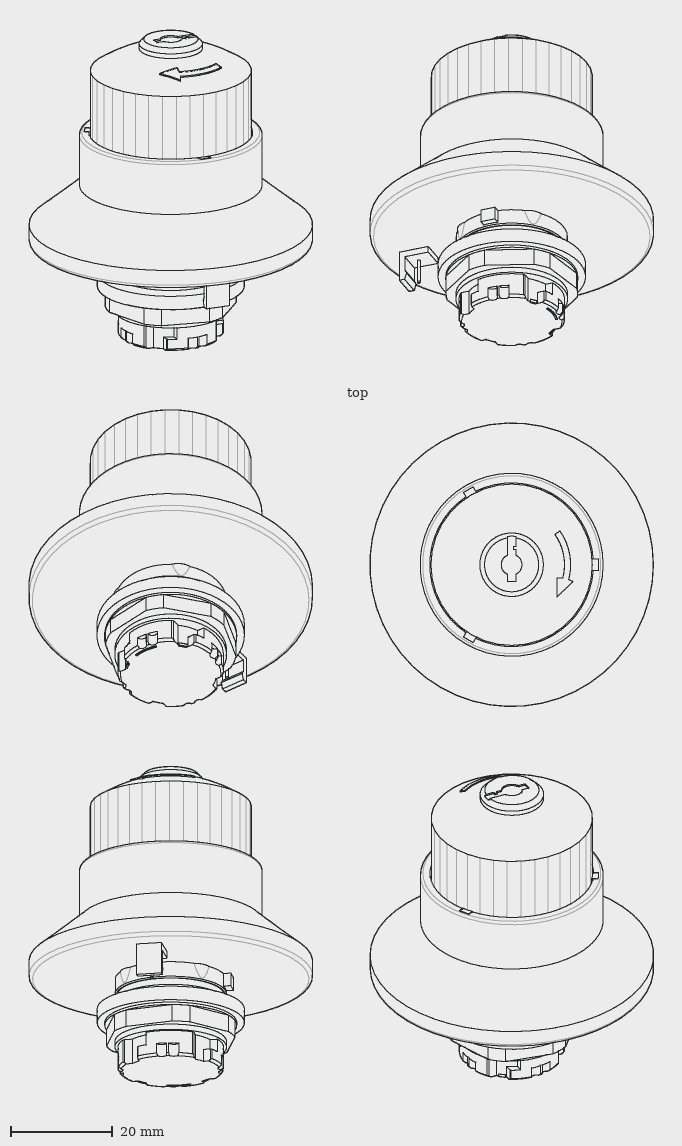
import cadquery as cq
import math

FLANGE_R = 55.8 / 2
FLANGE_RIM_TOP = 3.75
FLANGE_EDGE_ROUND = 0.7
COLLAR_R = 36.0 / 2
COLLAR_BASE = 12.0
COLLAR_TOP = 22.85
COLLAR_LIP_ROUND = 0.5
COLLAR_BORE_R = 16.1
COLLAR_BORE_DEPTH = 6.0
BORE_FLOOR = COLLAR_TOP - COLLAR_BORE_DEPTH
COLLAR_TAB_COUNT = 3
COLLAR_TAB_WIDTH = 2.2
COLLAR_TAB_OUTER_R = 17.05
COLLAR_TAB_DROP = 0.1

KNOB_FACETS = 36
KNOB_R = 15.87
KNOB_FACET_TOP = 35.8
DOME_MID_R = 10.55
DOME_MID_Z = 38.75
DOME_TOP_Z = 40.4

ARROW_RAISE = 0.25
ARROW_INNER_R = 10.4
ARROW_OUTER_R = 11.6
ARROW_TAIL_ANGLE = 35.0
ARROW_NECK_ANGLE = -14.6
ARROW_HEAD_INNER = (8.9, -2.6)
ARROW_TIP = (8.9, -6.35)
ARROW_HEAD_OUTER = (12.1, -3.3)

LOCK_R = 12.5 / 2
LOCK_SHOULDER_Z = 41.35
LOCK_TOP_R = 5.33
LOCK_TOP_Z = 42.3
KEYHOLE_R = 2.04
KEYHOLE_DEPTH = 0.3
KEY_SLOT_WIDTH = 1.67
KEY_SLOT_BOTTOM = -3.33
KEY_NIB_SIZE = (0.5, 0.6)
KEY_NIB_Y = 3.25

BOSS_R = 21.85 / 2
BOSS_BOTTOM = -3.25
BOSS_CHAMFER = 0.25
BOSS_RIB_COUNT = 4
BOSS_RIB_ANGLE = 45.0
BOSS_RIB_REACH = 22.6 / 2
BOSS_RIB_TOP_R = 3.3
BOSS_RIB_BOTTOM = -2.75
NECK_R = 10.5
NECK_BOTTOM = -4.72
THREAD_R = 22.0 / 2
THREAD_BOTTOM = -14.05
WASHER_R = 29.0 / 2
WASHER_TOP = -6.25
WASHER_BOTTOM = -9.05

NUT_SIDES = 6
NUT_ACROSS_FLATS = 24.05
NUT_CORNER_R = 12.97
NUT_TURN = 20.0
NUT_BOTTOM = -12.95
NUT_COLLAR_R = 26.0 / 2
NUT_COLLAR_HEIGHT = 0.5

SOCKET_R = 20.75 / 2
SOCKET_BOTTOM = -19.1
SOCKET_CHAMFER = 0.5
BAYONET_COUNT = 4
BAYONET_FLOOR_R = 9.0
BAYONET_ENTRY_Y = -6.2
BAYONET_END_X = -3.03
BAYONET_LEDGE_Z = -16.63
LEDGE_WALL_X = -4.94
CORNER_BREAK = 0.2
CORNER_BREAK_ANGLE = 30.0
SCALLOP_ANGLE = -82.5
SCALLOP_R = 1.0
SCALLOP_OFFSET = 1.2
PAD_INNER_R = 8.7
PAD_OUTER_R = 9.05
PAD_HEIGHT = 0.1
PAD_ARCS = [(141.0, 9.0), (180.0, 31.0), (230.0, 11.0)]

LUG_WIDTH = 3.0
LUG_OUTER_Y = 12.3
LUG_HEIGHT = 2.6
LATCH_WIDTH = 5.0
LATCH_INNER_X = 16.75
LATCH_OUTER_X = 22.9
LATCH_PLATE = 1.26
LATCH_LEG = 1.15
LATCH_BOTTOM = -6.3
BARB_DEPTH = 0.4
BARB_TOP = -4.2
BARB_TIP = -5.0
BARB_END_WIDTH = 0.05
PIN_X = 19.8
PIN_R = 0.3
PIN_TIP_LENGTH = 0.3

OVERLAP = 0.5


def polar(radius, degrees):
    a = math.radians(degrees)
    return (radius * math.cos(a), radius * math.sin(a))


def disc(radius, bottom, top):
    return cq.Workplane("XY", origin=(0, 0, bottom)).circle(radius).extrude(top - bottom)


def ring_sector(inner, outer, start, end, bottom, top):
    mid = (start + end) / 2
    return (
        cq.Workplane("XY", origin=(0, 0, bottom))
        .moveTo(*polar(inner, start))
        .lineTo(*polar(outer, start))
        .threePointArc(polar(outer, mid), polar(outer, end))
        .lineTo(*polar(inner, end))
        .threePointArc(polar(inner, mid), polar(inner, start))
        .close()
        .extrude(top - bottom)
    )


def around_axis(shape, count):
    copies = shape
    for i in range(1, count):
        copies = copies.union(shape.rotate((0, 0, 0), (0, 0, 1), i * 360.0 / count))
    return copies


def flange_and_collar():
    body = (
        cq.Workplane("XZ")
        .moveTo(0, 0)
        .lineTo(FLANGE_R, 0)
        .lineTo(FLANGE_R, FLANGE_RIM_TOP)
        .lineTo(COLLAR_R, COLLAR_BASE)
        .lineTo(COLLAR_R, COLLAR_TOP)
        .lineTo(0, COLLAR_TOP)
        .close()
        .revolve(360, (0, 0), (0, 1))
        .faces(">Z")
        .edges()
        .fillet(COLLAR_LIP_ROUND)
        .faces("<Z")
        .edges()
        .fillet(FLANGE_EDGE_ROUND)
    )
    body = body.cut(disc(COLLAR_BORE_R, BORE_FLOOR, COLLAR_TOP))
    tab = (
        cq.Workplane("XY", origin=(COLLAR_TAB_OUTER_R / 2, 0, BORE_FLOOR))
        .rect(COLLAR_TAB_OUTER_R, COLLAR_TAB_WIDTH)
        .extrude(COLLAR_BORE_DEPTH)
    )
    tabs = around_axis(tab, COLLAR_TAB_COUNT)
    lowered = tabs.translate((0, 0, -COLLAR_TAB_DROP))
    return body.cut(tabs).union(lowered)


def dome_solid(raise_by):
    """Solid of revolution below the dome surface, with the dome lifted by raise_by."""
    return (
        cq.Workplane("XZ")
        .moveTo(0, BORE_FLOOR)
        .lineTo(KNOB_R, BORE_FLOOR)
        .lineTo(KNOB_R, KNOB_FACET_TOP + raise_by)
        .threePointArc((DOME_MID_R, DOME_MID_Z + raise_by), (LOCK_R, DOME_TOP_Z + raise_by))
        .lineTo(0, DOME_TOP_Z + raise_by)
        .close()
        .revolve(360, (0, 0), (0, 1))
    )


def knob():
    prism = (
        cq.Workplane("XY", origin=(0, 0, BORE_FLOOR))
        .polygon(KNOB_FACETS, 2 * KNOB_R)
        .extrude(LOCK_TOP_Z - BORE_FLOOR)
    )
    return prism.intersect(dome_solid(0))


def arrow():
    middle = (ARROW_TAIL_ANGLE + ARROW_NECK_ANGLE) / 2
    outline = (
        cq.Workplane("XY", origin=(0, 0, KNOB_FACET_TOP))
        .moveTo(*polar(ARROW_INNER_R, ARROW_TAIL_ANGLE))
        .lineTo(*polar(ARROW_OUTER_R, ARROW_TAIL_ANGLE))
        .threePointArc(polar(ARROW_OUTER_R, middle), polar(ARROW_OUTER_R, ARROW_NECK_ANGLE))
        .lineTo(*ARROW_HEAD_OUTER)
        .lineTo(*ARROW_TIP)
        .lineTo(*ARROW_HEAD_INNER)
        .lineTo(*polar(ARROW_INNER_R, ARROW_NECK_ANGLE))
        .threePointArc(polar(ARROW_INNER_R, middle), polar(ARROW_INNER_R, ARROW_TAIL_ANGLE))
        .close()
        .extrude(LOCK_TOP_Z - KNOB_FACET_TOP)
    )
    return outline.intersect(dome_solid(ARROW_RAISE))


def lock():
    body = (
        cq.Workplane("XZ")
        .moveTo(0, DOME_TOP_Z - OVERLAP)
        .lineTo(LOCK_R, DOME_TOP_Z - OVERLAP)
        .lineTo(LOCK_R, LOCK_SHOULDER_Z)
        .lineTo(LOCK_TOP_R, LOCK_TOP_Z)
        .lineTo(0, LOCK_TOP_Z)
        .close()
        .revolve(360, (0, 0), (0, 1))
    )
    floor = LOCK_TOP_Z - KEYHOLE_DEPTH
    slot_length = LOCK_R - KEY_SLOT_BOTTOM
    slot = (
        cq.Workplane("XY", origin=(0, KEY_SLOT_BOTTOM + slot_length / 2, floor))
        .rect(KEY_SLOT_WIDTH, slot_length)
        .extrude(KEYHOLE_DEPTH)
    )
    nib = (
        cq.Workplane("XY", origin=((KEY_SLOT_WIDTH - KEY_NIB_SIZE[0]) / 2, KEY_NIB_Y, floor))
        .rect(*KEY_NIB_SIZE)
        .extrude(KEYHOLE_DEPTH)
    )
    return body.cut(disc(KEYHOLE_R, floor, LOCK_TOP_Z)).cut(slot.cut(nib))


def mounting_neck():
    boss = disc(BOSS_R, BOSS_BOTTOM, OVERLAP).faces("<Z").chamfer(BOSS_CHAMFER)
    neck = disc(NECK_R, NECK_BOTTOM, BOSS_BOTTOM)
    thread = disc(THREAD_R, THREAD_BOTTOM, NECK_BOTTOM)
    washer = disc(WASHER_R, WASHER_BOTTOM, WASHER_TOP)
    return boss.union(boss_ribs()).union(neck).union(thread).union(washer)


def boss_ribs():
    """Conical ribs that swell out of the boss towards the flange."""
    centre_r = BOSS_RIB_REACH - BOSS_RIB_TOP_R
    cone = cq.Workplane("XY").add(
        cq.Solid.makeCone(
            BOSS_R - centre_r, BOSS_RIB_TOP_R, -BOSS_RIB_BOTTOM, cq.Vector(0, 0, BOSS_RIB_BOTTOM)
        )
    )
    return around_axis(cone.translate((*polar(centre_r, BOSS_RIB_ANGLE), 0)), BOSS_RIB_COUNT)


def nut():
    hexagon = (
        cq.Workplane("XY", origin=(0, 0, NUT_BOTTOM))
        .polygon(NUT_SIDES, NUT_ACROSS_FLATS / math.cos(math.pi / NUT_SIDES))
        .extrude(WASHER_BOTTOM - NUT_BOTTOM)
        .rotate((0, 0, 0), (0, 0, 1), NUT_TURN)
        .intersect(disc(NUT_CORNER_R, NUT_BOTTOM, WASHER_BOTTOM))
    )
    return hexagon.union(disc(NUT_COLLAR_R, WASHER_BOTTOM - NUT_COLLAR_HEIGHT, WASHER_BOTTOM))


def bayonet_slot():
    """One J-shaped slot: full-height entry beside an undercut above the ledge."""
    end_y = -math.sqrt(BAYONET_FLOOR_R**2 - BAYONET_END_X**2)
    far = 2 * SOCKET_R
    break_slope = math.tan(math.radians(CORNER_BREAK_ANGLE))
    entry_break_x = CORNER_BREAK - math.sqrt(SOCKET_R**2 - BAYONET_ENTRY_Y**2)
    ledge_break_y = CORNER_BREAK - math.sqrt(SOCKET_R**2 - LEDGE_WALL_X**2)
    slot = (
        cq.Workplane("XY", origin=(0, 0, SOCKET_BOTTOM))
        .moveTo(0, 0)
        .lineTo(-math.sqrt(BAYONET_FLOOR_R**2 - BAYONET_ENTRY_Y**2), BAYONET_ENTRY_Y)
        .lineTo(entry_break_x, BAYONET_ENTRY_Y)
        .lineTo(-far, BAYONET_ENTRY_Y + (far + entry_break_x) * break_slope)
        .lineTo(-far, -far)
        .lineTo(BAYONET_END_X, -far)
        .lineTo(BAYONET_END_X, end_y)
        .close()
        .extrude(THREAD_BOTTOM - SOCKET_BOTTOM)
        .cut(disc(BAYONET_FLOOR_R, SOCKET_BOTTOM, THREAD_BOTTOM))
    )
    ledge = (
        cq.Workplane("XY", origin=(0, 0, SOCKET_BOTTOM))
        .moveTo(LEDGE_WALL_X, 0)
        .lineTo(LEDGE_WALL_X, ledge_break_y)
        .lineTo(LEDGE_WALL_X + (far + ledge_break_y) * break_slope, -far)
        .lineTo(0, -far)
        .lineTo(0, 0)
        .close()
        .extrude(BAYONET_LEDGE_Z - SOCKET_BOTTOM)
    )
    return slot.cut(ledge)


def scallop_pair():
    grooves = (
        cq.Workplane("XY", origin=(0, 0, SOCKET_BOTTOM))
        .pushPoints([(SOCKET_R, -SCALLOP_OFFSET), (SOCKET_R, SCALLOP_OFFSET)])
        .circle(SCALLOP_R)
        .extrude(BAYONET_LEDGE_Z - SOCKET_BOTTOM)
    )
    return grooves.rotate((0, 0, 0), (0, 0, 1), SCALLOP_ANGLE)


def socket():
    body = disc(SOCKET_R, SOCKET_BOTTOM, THREAD_BOTTOM).faces("<Z").chamfer(SOCKET_CHAMFER)
    body = body.cut(around_axis(bayonet_slot(), BAYONET_COUNT))
    body = body.cut(around_axis(scallop_pair(), BAYONET_COUNT))
    for middle, span in PAD_ARCS:
        pad = ring_sector(
            PAD_INNER_R, PAD_OUTER_R, middle - span / 2, middle + span / 2,
            SOCKET_BOTTOM - PAD_HEIGHT, SOCKET_BOTTOM + OVERLAP,
        )
        body = body.union(pad)
    return body


def locating_lug():
    return (
        cq.Workplane("XY", origin=(0, LUG_OUTER_Y / 2, -LUG_HEIGHT))
        .rect(LUG_WIDTH, LUG_OUTER_Y)
        .extrude(LUG_HEIGHT + OVERLAP)
    )


def latch():
    leg_x = LATCH_OUTER_X - LATCH_LEG
    hook = (
        cq.Workplane("XZ")
        .moveTo(LATCH_INNER_X, OVERLAP)
        .lineTo(LATCH_OUTER_X, OVERLAP)
        .lineTo(LATCH_OUTER_X, LATCH_BOTTOM)
        .lineTo(leg_x + BARB_END_WIDTH, LATCH_BOTTOM)
        .lineTo(leg_x - BARB_DEPTH, BARB_TIP)
        .lineTo(leg_x, BARB_TOP)
        .lineTo(leg_x, -LATCH_PLATE)
        .lineTo(LATCH_INNER_X, -LATCH_PLATE)
        .close()
        .extrude(LATCH_WIDTH / 2, both=True)
    )
    pin = disc(PIN_R, LATCH_BOTTOM, 0).faces("<Z").chamfer(PIN_TIP_LENGTH, PIN_R / 2)
    return hook.union(pin.translate((PIN_X, 0, 0)))


result = flange_and_collar()
upper_pieces = [knob(), arrow(), lock()]
lower_pieces = [mounting_neck(), nut(), socket(), locating_lug(), latch()]
for piece in upper_pieces + lower_pieces:
    result = result.union(piece)